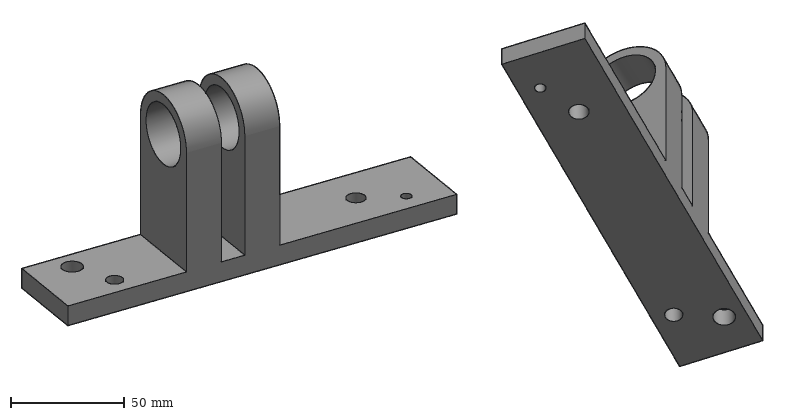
import cadquery as cq

width = 40
length = 200
base_thickness = 10

height = 90
lug_thickness = 18
lug_gap = 12
rear_lug_center_y = 0
front_lug_center_y = rear_lug_center_y - lug_thickness - lug_gap
lug_radius = width / 2
bore_diameter = 30
bore_height = height - lug_radius

base_holes = [
    (10, 80, 5.0),
    (0, 60, 9.0),
    (10, -70, 8),
    (-10, -80, 10),
]


def make_base():
    base = cq.Workplane("XY").box(width, length, base_thickness, centered=(True, True, False))
    for x, y, diameter in base_holes:
        hole = cq.Workplane("XY").center(x, y).circle(diameter / 2).extrude(base_thickness)
        base = base.cut(hole)
    return base


def make_lug(center_y):
    """Upright with a semicircular top and a concentric bore along Y."""
    return (
        cq.Workplane("XZ", origin=(0, center_y, 0))
        .moveTo(-lug_radius, 0)
        .lineTo(lug_radius, 0)
        .lineTo(lug_radius, bore_height)
        .threePointArc((0, height), (-lug_radius, bore_height))
        .close()
        .moveTo(0, bore_height)
        .circle(bore_diameter / 2)
        .extrude(lug_thickness / 2, both=True)
    )


result = make_base()
for lug_center_y in (rear_lug_center_y, front_lug_center_y):
    result = result.union(make_lug(lug_center_y))